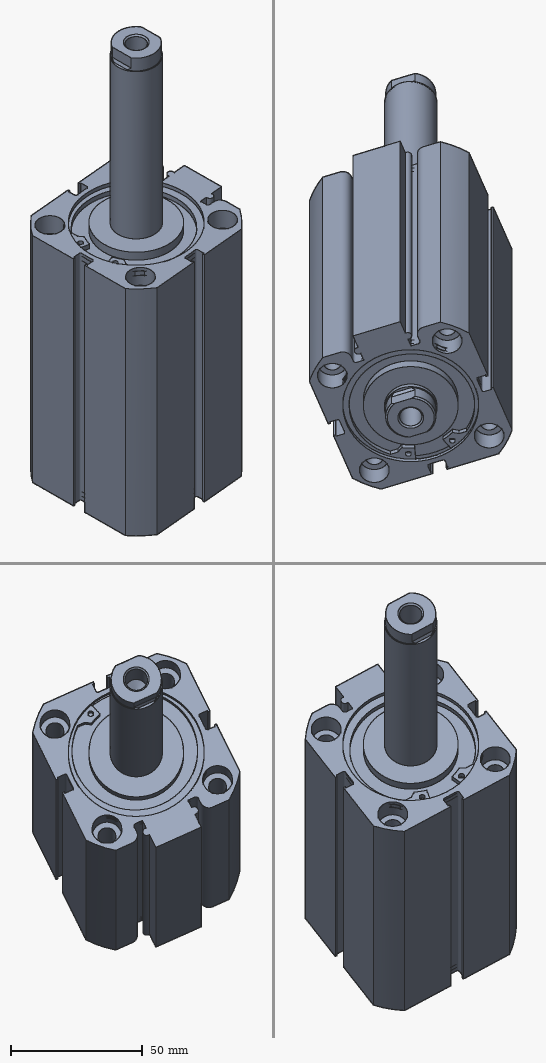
import cadquery as cq
import math

body_width = 64.5
body_length = 120.5
corner_radius = 40.0
rod_reach_top = 88.0
rod_reach_bottom = 8.0

bore_radius = 25.8
groove_radius = 27.5
groove_depth = 1.7
ring_thickness = 2.2

bolt_spacing = 46.3
bolt_hole_diameter = 6.7
bolt_head_diameter = 11.3
bolt_head_depth = 8.7

slot_floor = 27.7
slot_mouth_half_width = 2.8
slot_half_width = 3.5
slot_lip = 0.9
slot_floor_radius = 0.6

rail_half_width = 9.5
rail_top = 37.7
rail_bead_half_width = 11.5
rail_bead_radius = 1.5
rail_bead_y = 30.5
channel_half_width = 13.5
channel_floor = 25.8
channel_floor_radius = 1.0
channel_mouth_radius = 3.5

boss_radius = 18.0
cover_length = 15.2

rod_diameter = 20.0
neck_diameter = 19.0
neck_length = 6.3
neck_chamfer_bottom = 0.6
flat_half_width = 8.2
flat_runout_height = 1.3
flat_runout_width = 0.6
socket_diameter = 8.5
socket_chamfer = 0.6
socket_depth = 13.0
drill_point_angle = 118.0

ring_outer_radius = 27.0
ring_inner_radius = 23.8
ring_offset = -1.3
gap_half_angle = 16.0
lug_end_angle = 29.5
lug_inner_radius = 20.8
lug_root_y = -19.5
lug_root_x = 12.3
lug_hole_radius = 1.0
lug_hole_x = 8.9
lug_hole_y = -21.6

half_width = body_width / 2
shoulder_depth = groove_depth + ring_thickness
rod_top = body_length + rod_reach_top


def mirrored_end(shape):
    """The same shape at the lower end of the housing."""
    return shape.mirror("XY", (0, 0, body_length / 2))


def cylinder(radius, bottom, height):
    return cq.Workplane("XY").workplane(offset=bottom).circle(radius).extrude(height)


def sensor_slot():
    """Lipped slot along the -Y face, over the full length of the housing."""
    lip_y = -half_width + slot_lip
    right_side = [
        (slot_mouth_half_width, -half_width),
        (slot_mouth_half_width, lip_y),
        (slot_half_width, lip_y),
        (slot_half_width, -slot_floor),
    ]
    left_side = [(-x, y) for x, y in reversed(right_side)]
    slot = cq.Workplane("XY").polyline(right_side + left_side).close().extrude(body_length)
    return slot.edges("|Z").edges(">Y").fillet(slot_floor_radius)


def rail_channel():
    """Room for the rail and the channel on its +X side, flaring with a round edge at the +Y face."""
    mouth_x = channel_half_width + channel_mouth_radius
    mouth_y = half_width - channel_mouth_radius
    arc_mid = channel_mouth_radius * math.sqrt(0.5)
    channel = (
        cq.Workplane("XY")
        .moveTo(0, half_width)
        .lineTo(mouth_x, half_width)
        .threePointArc((mouth_x - arc_mid, mouth_y + arc_mid), (channel_half_width, mouth_y))
        .lineTo(channel_half_width, channel_floor)
        .lineTo(0, channel_floor)
        .close()
        .extrude(body_length)
    )
    return channel.edges("|Z").edges("<Y").edges(">X").fillet(channel_floor_radius)


def rail():
    """Mounting rail on the +Y face with a round-nosed bead along each side."""
    rail_height = rail_top - channel_floor
    post = (
        cq.Workplane("XY", origin=(0, channel_floor + rail_height / 2, 0))
        .rect(2 * rail_half_width, rail_height)
        .extrude(body_length)
    )
    beads = (
        cq.Workplane("XY", origin=(0, rail_bead_y, 0))
        .slot2D(2 * rail_bead_half_width, 2 * rail_bead_radius)
        .extrude(body_length)
    )
    return post.union(beads)


def bolt_holes():
    """Four through holes, counterbored from both housing faces."""
    head_recess = (
        cq.Workplane("XY")
        .workplane(offset=body_length - bolt_head_depth)
        .rect(bolt_spacing, bolt_spacing, forConstruction=True)
        .vertices()
        .circle(bolt_head_diameter / 2)
        .extrude(bolt_head_depth)
    )
    shanks = (
        cq.Workplane("XY")
        .rect(bolt_spacing, bolt_spacing, forConstruction=True)
        .vertices()
        .circle(bolt_hole_diameter / 2)
        .extrude(body_length)
    )
    return shanks.union(head_recess).union(mirrored_end(head_recess))


def make_housing():
    block = cq.Workplane("XY").rect(body_width, body_width).extrude(body_length)
    block = block.intersect(cylinder(corner_radius, 0, body_length))

    channel = rail_channel()
    block = block.cut(channel).cut(channel.mirror("YZ")).union(rail())

    for angle in (-90, 0, 90):
        block = block.cut(sensor_slot().rotate((0, 0, 0), (0, 0, 1), angle))

    groove = cylinder(groove_radius, body_length - shoulder_depth, ring_thickness)
    block = block.cut(cylinder(bore_radius, 0, body_length))
    block = block.cut(groove).cut(mirrored_end(groove))
    return block.cut(bolt_holes())


def make_cover():
    """Upper rod cover: a plug in the bore with a boss flush with the housing face."""
    plug_top = body_length - shoulder_depth
    plug = cylinder(bore_radius, plug_top - cover_length, cover_length)
    boss = cylinder(boss_radius, plug_top, shoulder_depth)
    return plug.union(boss).cut(cylinder(rod_diameter / 2, 0, body_length))


def polar(radius, angle_from_gap):
    """Point on the +X side at an angle measured from -Y."""
    angle = math.radians(angle_from_gap)
    return (radius * math.sin(angle), -radius * math.cos(angle))


def ring_lug(bottom):
    """Eyelet at the +X end of a retaining ring, trimmed by the ring's outer circle."""
    lug_mid_angle = (gap_half_angle + lug_end_angle) / 2
    beyond_ring = 2 * ring_outer_radius
    lug = (
        cq.Workplane("XY")
        .workplane(offset=bottom)
        .moveTo(*polar(lug_inner_radius, gap_half_angle))
        .threePointArc(polar(lug_inner_radius, lug_mid_angle), polar(lug_inner_radius, lug_end_angle))
        .lineTo(lug_root_x, lug_root_y)
        .lineTo(beyond_ring, lug_root_y)
        .lineTo(*polar(beyond_ring, gap_half_angle))
        .close()
        .extrude(ring_thickness)
    )
    hole = cylinder(lug_hole_radius, bottom, ring_thickness).translate((lug_hole_x, lug_hole_y, 0))
    return lug.intersect(cylinder(ring_outer_radius, bottom, ring_thickness)).cut(hole)


def make_retaining_ring():
    """Upper retaining ring, narrowing towards the gap at -Y, with two eyelets."""
    bottom = body_length - shoulder_depth
    opening = cylinder(ring_inner_radius, bottom, ring_thickness).translate((0, ring_offset, 0))
    gap_right = polar(2 * ring_outer_radius, lug_end_angle)
    gap = (
        cq.Workplane("XY")
        .workplane(offset=bottom)
        .polyline([(0, 0), gap_right, (-gap_right[0], gap_right[1])])
        .close()
        .extrude(ring_thickness)
    )
    lug = ring_lug(bottom)
    ring = cylinder(ring_outer_radius, bottom, ring_thickness).cut(opening).cut(gap)
    return ring.union(lug).union(lug.mirror("YZ"))


def wrench_flats(shoulder, direction):
    """Material outside the two flats, beyond the neck shoulder in the given Z direction."""
    flat_start = shoulder + direction * flat_runout_height
    beyond_end = shoulder + direction * rod_diameter
    runout_y = flat_half_width + flat_runout_width
    side = (
        cq.Workplane("YZ")
        .polyline(
            [
                (runout_y, shoulder),
                (flat_half_width, flat_start),
                (flat_half_width, beyond_end),
                (rod_diameter, beyond_end),
                (rod_diameter, shoulder),
            ]
        )
        .close()
        .extrude(rod_diameter, both=True)
    )
    return side.union(side.mirror("XZ"))


def end_socket():
    """Blind hole with a chamfered mouth and a drill point, opening upwards at z = 0."""
    radius = socket_diameter / 2
    point_length = radius / math.tan(math.radians(drill_point_angle / 2))
    return (
        cq.Workplane("XZ")
        .polyline(
            [
                (0, 0),
                (radius + socket_chamfer, 0),
                (radius, -socket_chamfer),
                (radius, -socket_depth),
                (0, -socket_depth - point_length),
            ]
        )
        .close()
        .revolve(360, (0, 0), (0, 1))
    )


def make_rod():
    """Through rod with a stepped-down, flatted and drilled end above and below the housing."""
    top_shoulder = rod_top - neck_length
    bottom_shoulder = -rod_reach_bottom + neck_length
    neck = cylinder(neck_diameter / 2, -rod_reach_bottom, rod_top + rod_reach_bottom)
    neck = neck.faces("<Z").chamfer(neck_chamfer_bottom)
    neck = neck.cut(wrench_flats(top_shoulder, 1)).cut(wrench_flats(bottom_shoulder, -1))

    shaft = cylinder(rod_diameter / 2, bottom_shoulder, top_shoulder - bottom_shoulder)
    top_socket = end_socket().translate((0, 0, rod_top))
    bottom_socket = end_socket().mirror("XY").translate((0, 0, -rod_reach_bottom))
    return shaft.union(neck).cut(top_socket).cut(bottom_socket)


housing = make_housing()
rod = make_rod()
covers = [make_cover(), mirrored_end(make_cover())]
retaining_rings = [make_retaining_ring(), mirrored_end(make_retaining_ring())]

result = cq.Compound.makeCompound(
    [
        housing.val(),
        rod.val(),
        *[cover.val() for cover in covers],
        *[ring.val() for ring in retaining_rings],
    ]
)